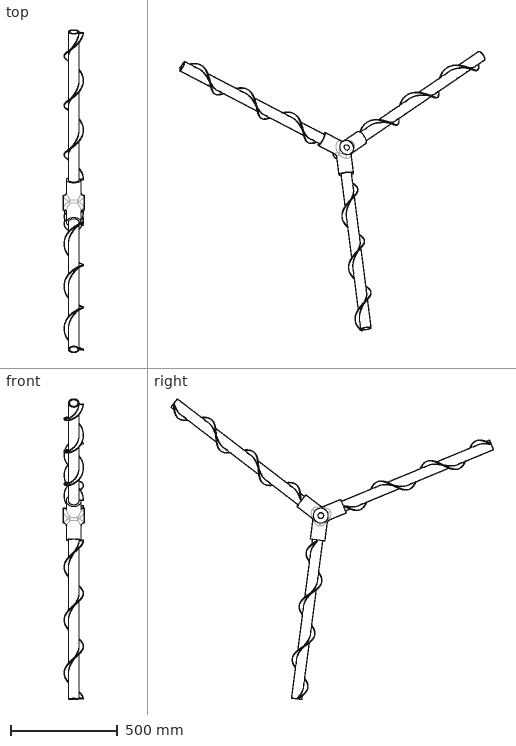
import cadquery as cq

barrel_diameter = 70.0
barrel_length = 100.0
bore_diameter = 25.0
socket_diameter = 70.0
socket_end = 115.0
socket_floor = 50.0
root_fillet = 14.8

arm_count = 3
first_arm_angle = 22.5
arm_end = 865.0
tube_diameter = 50.0
tube_bore = 40.0

fin_diameter = 90.0
fin_thickness = 6.0
fin_turns = 3

tube_radius = tube_diameter / 2
fin_length = arm_end - socket_end
fin_pitch = fin_length / fin_turns


def cylinder(diameter, start, end):
    """Cylinder along Z between two heights."""
    return cq.Workplane("XY").workplane(offset=start).circle(diameter / 2).extrude(end - start)


def place_on_arm(body, index):
    """Turn a body built along +Z so that it lies along the given arm."""
    angle_from_y = first_arm_angle + index * 360 / arm_count
    return body.rotate((0, 0, 0), (1, 0, 0), angle_from_y - 90)


def fillet_roots(hub):
    """Round the seams where the barrel and the sockets meet; they all lie clear of the open ends."""
    seam_half_width = (barrel_length + socket_diameter) / 4
    seam_reach = (socket_diameter + socket_end) / 3
    seam_box = cq.selectors.BoxSelector(
        (-seam_half_width, -seam_reach, -seam_reach),
        (seam_half_width, seam_reach, seam_reach),
        boundingbox=True,
    )
    return hub.edges(seam_box).fillet(root_fillet)


def make_hub():
    hub = cylinder(barrel_diameter, -barrel_length / 2, barrel_length / 2).rotate((0, 0, 0), (0, 1, 0), 90)
    for index in range(arm_count):
        hub = hub.union(place_on_arm(cylinder(socket_diameter, 0, socket_end), index))
    hub = fillet_roots(hub)
    for index in range(arm_count):
        hub = hub.cut(place_on_arm(cylinder(tube_diameter, socket_floor, socket_end), index))
    bore = cylinder(bore_diameter, -barrel_length, barrel_length).rotate((0, 0, 0), (0, 1, 0), 90)
    return hub.cut(bore)


def make_tube():
    return cylinder(tube_diameter, socket_floor, arm_end).cut(cylinder(tube_bore, socket_floor, arm_end))


def make_fin():
    """Right-handed helical strip standing on the tube, running from the socket mouth to the arm end."""
    helix = cq.Wire.makeHelix(fin_pitch, fin_length - fin_thickness, tube_radius)
    fin = (
        cq.Workplane("XZ")
        .center((tube_diameter + fin_diameter) / 4, fin_thickness / 2)
        .rect((fin_diameter - tube_diameter) / 2, fin_thickness)
        .sweep(cq.Workplane(obj=helix), isFrenet=True)
    )
    return fin.translate((0, 0, socket_end))


hub = make_hub()
tubes = [place_on_arm(make_tube(), index) for index in range(arm_count)]
fins = [place_on_arm(make_fin(), index) for index in range(arm_count)]

result = cq.Compound.makeCompound([
    hub.val(),
    *[tube.val() for tube in tubes],
    *[fin.val() for fin in fins],
])